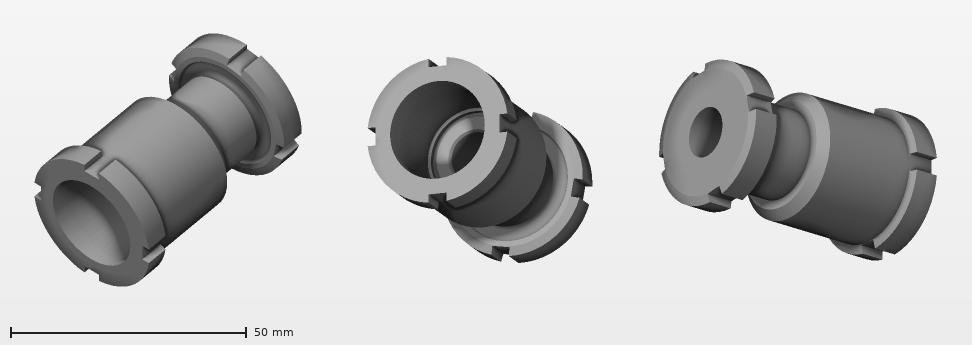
import cadquery as cq
import math

TOTAL_LENGTH = 50.65

FLANGE_RADIUS = 31.95 / 2
SLOT_WIDTH = 4.0
SLOT_FLOOR_RADIUS = 14.05
SLOT_COUNT = 4
SLOT_OVERCUT = 0.5
CHAMFER_RADIAL = 2.0
CHAMFER_ANGLE = 15.0
CHAMFER_AXIAL = CHAMFER_RADIAL * math.tan(math.radians(CHAMFER_ANGLE))
CHAMFER_INNER_RADIUS = FLANGE_RADIUS - CHAMFER_RADIAL

SLEEVE_LENGTH = 30.05
SLEEVE_FLANGE_LENGTH = 6.05
SLEEVE_RADIUS = 14.05
SLEEVE_CHAMFER = 2.1
SLEEVE_BORE_RADIUS = 10.75
SLEEVE_BORE_DEPTH = 22.3

SHAFT_RADIUS = 10.05
SHAFT_START = SLEEVE_BORE_DEPTH
SHAFT_END = 42.35
TIP_RADIUS = 8.7
TIP_CHAMFER = SHAFT_RADIUS - TIP_RADIUS
NECK_RADIUS = 9.1
NECK_START = 42.95
NECK_FILLET = 1.1
BOLT_BORE_RADIUS = 5.5
BOLT_BORE_CHAMFER = 0.5
HEAD_LENGTH = 6.8
HEAD_FRONT = TOTAL_LENGTH - HEAD_LENGTH
HEAD_TURN = 10.0
RECESS_RADIUS = 12.8
RECESS_DEPTH = 0.65
RECESS_FILLET = 0.55
RECESS_FLOOR = HEAD_FRONT + RECESS_DEPTH


def revolve_about_y(profile):
    """Revolve a closed (radius, Y) profile a full turn around the Y axis."""
    return profile.close().revolve(360, (0, 0, 0), (0, 1, 0))


def cut_slots(body, start, length, turn):
    """Cut evenly spaced wrench slots through a flange starting at Y = start."""
    slot_depth = FLANGE_RADIUS - SLOT_FLOOR_RADIUS + SLOT_OVERCUT
    slot = cq.Workplane("XY").box(SLOT_WIDTH, length, slot_depth, centered=(True, False, False))
    slot = slot.translate((0, start, SLOT_FLOOR_RADIUS))
    for index in range(SLOT_COUNT):
        angle = turn + index * 360 / SLOT_COUNT
        body = body.cut(slot.rotate((0, 0, 0), (0, 1, 0), angle))
    return body


def make_sleeve():
    """Flanged sleeve with a wide bore that steps down to fit the shaft."""
    profile = (
        cq.Workplane("XY")
        .moveTo(SLEEVE_BORE_RADIUS, 0)
        .lineTo(FLANGE_RADIUS, 0)
        .lineTo(FLANGE_RADIUS, SLEEVE_FLANGE_LENGTH - CHAMFER_AXIAL)
        .lineTo(SLEEVE_RADIUS, SLEEVE_FLANGE_LENGTH)
        .lineTo(SLEEVE_RADIUS, SLEEVE_LENGTH - SLEEVE_CHAMFER)
        .lineTo(SLEEVE_RADIUS - SLEEVE_CHAMFER, SLEEVE_LENGTH)
        .lineTo(SHAFT_RADIUS, SLEEVE_LENGTH)
        .lineTo(SHAFT_RADIUS, SLEEVE_BORE_DEPTH)
        .lineTo(SLEEVE_BORE_RADIUS, SLEEVE_BORE_DEPTH)
    )
    return cut_slots(revolve_about_y(profile), 0, SLEEVE_FLANGE_LENGTH, 0)


def make_bolt():
    """Hollow bolt with a necked shaft and a head recessed around the neck."""
    profile = (
        cq.Workplane("XY")
        .moveTo(BOLT_BORE_RADIUS, SHAFT_START + BOLT_BORE_CHAMFER)
        .lineTo(BOLT_BORE_RADIUS + BOLT_BORE_CHAMFER, SHAFT_START)
        .lineTo(TIP_RADIUS, SHAFT_START)
        .lineTo(SHAFT_RADIUS, SHAFT_START + TIP_CHAMFER)
        .lineTo(SHAFT_RADIUS, SHAFT_END)
        .lineTo(NECK_RADIUS, NECK_START)
        .lineTo(NECK_RADIUS, RECESS_FLOOR - NECK_FILLET)
        .tangentArcPoint((NECK_RADIUS + NECK_FILLET, RECESS_FLOOR), relative=False)
        .lineTo(RECESS_RADIUS - RECESS_FILLET, RECESS_FLOOR)
        .tangentArcPoint((RECESS_RADIUS, RECESS_FLOOR - RECESS_FILLET), relative=False)
        .lineTo(RECESS_RADIUS, HEAD_FRONT)
        .lineTo(CHAMFER_INNER_RADIUS, HEAD_FRONT)
        .lineTo(FLANGE_RADIUS, HEAD_FRONT + CHAMFER_AXIAL)
        .lineTo(FLANGE_RADIUS, TOTAL_LENGTH - CHAMFER_AXIAL)
        .lineTo(CHAMFER_INNER_RADIUS, TOTAL_LENGTH)
        .lineTo(BOLT_BORE_RADIUS, TOTAL_LENGTH)
    )
    return cut_slots(revolve_about_y(profile), HEAD_FRONT, HEAD_LENGTH, HEAD_TURN)


sleeve = make_sleeve()
bolt = make_bolt()
result = cq.Compound.makeCompound([sleeve.val(), bolt.val()])